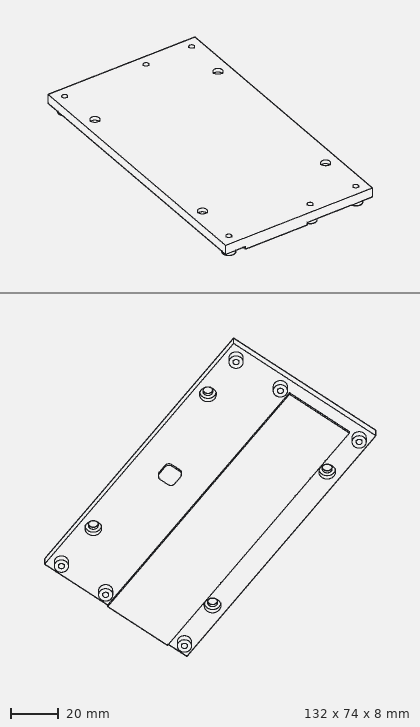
import cadquery as cq

plate_length = 132.0
plate_width = 74.0
plate_thickness = 4.6

boss_height = 3.4
boss_diameter = 6.0
screw_hole_diameter = 2.5
boss_edge_inset = 5.0
boss_x = plate_length / 2 - boss_edge_inset
corner_boss_y = plate_width / 2 - boss_edge_inset
middle_boss_y = 9.0

mount_hole_diameter = 4.2
mount_hole_x = 40.0
mount_hole_y = 31.0
head_recess_diameter = 7.0
head_recess_depth = 2.8

pad_height = 1.3
long_pad_left_x = -boss_x
long_pad_right_x = plate_length / 2
long_pad_front_y = -26.9
long_pad_back_y = 4.2
small_pad_size = 8.0
small_pad_corner_radius = 2.0
small_pad_y = 21.0

boss_centres = [
    (side * boss_x, y)
    for side in (-1, 1)
    for y in (-corner_boss_y, middle_boss_y, corner_boss_y)
]
mount_hole_centres = [
    (x_side * mount_hole_x, y_side * mount_hole_y)
    for x_side in (-1, 1)
    for y_side in (-1, 1)
]


def make_cylinders(centres, diameter, bottom_z, top_z):
    """Equal upright cylinders standing on the given centres."""
    return (
        cq.Workplane("XY")
        .workplane(offset=bottom_z)
        .pushPoints(centres)
        .circle(diameter / 2)
        .extrude(top_z - bottom_z)
    )


def make_plate():
    return cq.Workplane("XY").box(
        plate_length, plate_width, plate_thickness, centered=(True, True, False)
    )


def make_long_pad():
    """Rectangular pad running from the left-hand bosses to the right edge of the plate."""
    length = long_pad_right_x - long_pad_left_x
    width = long_pad_back_y - long_pad_front_y
    centre_x = (long_pad_left_x + long_pad_right_x) / 2
    centre_y = (long_pad_front_y + long_pad_back_y) / 2
    return cq.Workplane("XY").center(centre_x, centre_y).rect(length, width).extrude(-pad_height)


def make_small_pad():
    """Square pad with rounded corners, midway along the plate."""
    return (
        cq.Workplane("XY")
        .center(0, small_pad_y)
        .rect(small_pad_size, small_pad_size)
        .extrude(-pad_height)
        .edges("|Z")
        .fillet(small_pad_corner_radius)
    )


bosses = make_cylinders(boss_centres, boss_diameter, -boss_height, 0)
screw_holes = make_cylinders(boss_centres, screw_hole_diameter, -boss_height, plate_thickness)
mount_holes = make_cylinders(mount_hole_centres, mount_hole_diameter, 0, plate_thickness)
head_recesses = make_cylinders(mount_hole_centres, head_recess_diameter, 0, head_recess_depth)

body = make_plate().union(bosses).union(make_long_pad()).union(make_small_pad())
result = body.cut(screw_holes).cut(mount_holes).cut(head_recesses)